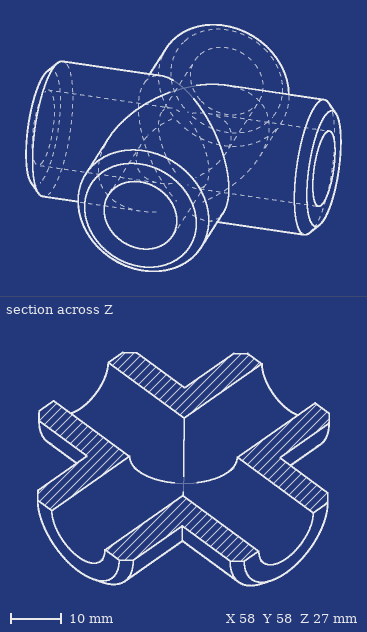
import cadquery as cq

length = 58.0
outer_diameter = 27.0
bore_diameter = 15.0
chamfer = 2.0


def centred_cylinder(plane, diameter):
    """Full-length cylinder centred on the origin, along the normal of the plane."""
    return cq.Workplane(plane).circle(diameter / 2).extrude(length / 2, both=True)


def chamfered_bar(plane):
    """Solid bar with both end rims chamfered."""
    return centred_cylinder(plane, outer_diameter).edges("%CIRCLE").chamfer(chamfer)


result = chamfered_bar("YZ").union(chamfered_bar("XZ"))

for bore_plane in ("YZ", "XZ"):
    result = result.cut(centred_cylinder(bore_plane, bore_diameter))